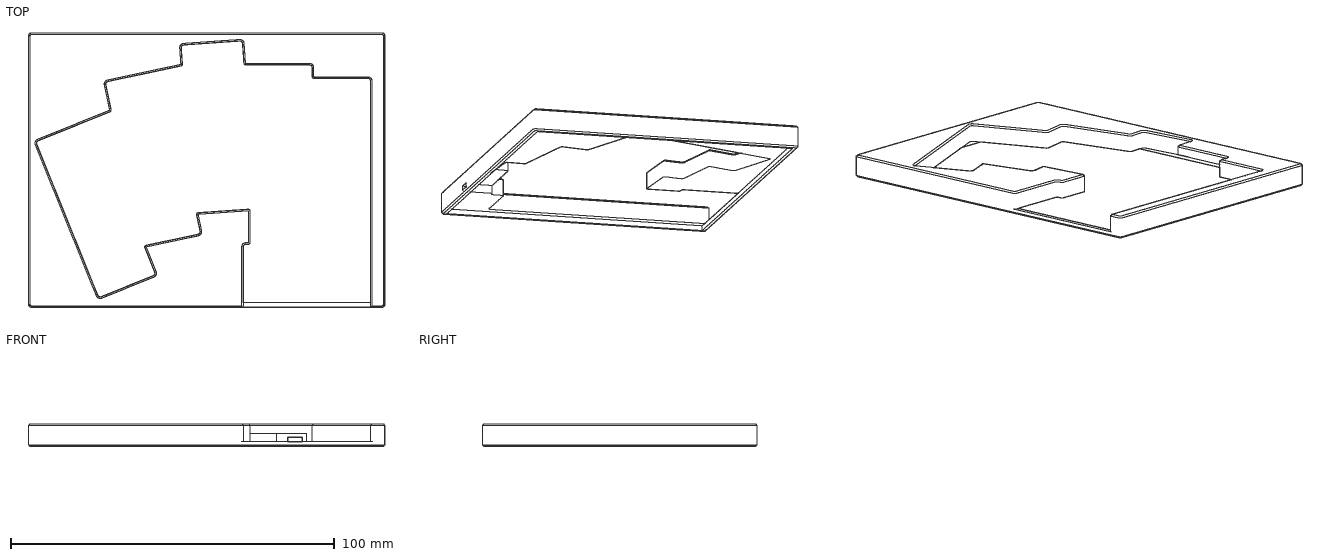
import math

import cadquery as cq

LENGTH = 110.2
WIDTH = 84.9
HEIGHT = 7.0
OUTER_RADIUS = 1.0
EDGE_CHAMFER = 0.5

RIM_WIDTH = 1.6
RECESS_DEPTH = 1.5

INNER_CORNER_RADIUS = 0.8
OUTER_CORNER_RADIUS = 0.6
OPENING_RIGHT_X = 105.7
OPENING_RIGHT_BACK_Y = 70.8
OVERSHOOT = 5.0
PINKY_TILT = 22
RING_TILT = 12
MIDDLE_TILT = 4

OPENING_WALLS = [
    (180, 18.05),
    (90, 4.15),
    (180, 21.05),
    (90 + MIDDLE_TILT, 7.45),
    (180 + MIDDLE_TILT, 18.95),
    (270 + MIDDLE_TILT, 6.35),
    (180 + RING_TILT, 24.4),
    (270 + RING_TILT, 9.2),
    (180 + PINKY_TILT, 25.25),
    (270 + PINKY_TILT, 51.95),
    (PINKY_TILT, 18.95),
    (90 + PINKY_TILT, 9.65),
    (RING_TILT, 17.9),
    (90 + RING_TILT, 6.6),
    (MIDDLE_TILT, 16.75),
]
TAB_LENGTH = 10.9
TAB_BASE_X = 66.4

POCKET_LEFT_X = 64.9
POCKET_RIGHT_X = 86.0
POCKET_FRONT_Y = 74.0
POCKET_TOP_Z = 4.0
DEEP_POCKET_LEFT_X = 76.7
DEEP_POCKET_ARC_RADIUS = 8.1 / 2
DEEP_POCKET_ARC_WIDTH = 1.7

SLOT_LEFT_X = 80.2
SLOT_RIGHT_X = 84.6
SLOT_TOP_Z = 2.8


def opening_outline():
    """Corner points of the opening, which runs out through the front wall."""
    x = OPENING_RIGHT_X
    y = OPENING_RIGHT_BACK_Y
    points = [(x, -OVERSHOOT), (x, y)]
    for heading, length in OPENING_WALLS:
        x += length * math.cos(math.radians(heading))
        y += length * math.sin(math.radians(heading))
        points.append((x, y))
    y -= TAB_LENGTH
    points += [(x, y), (TAB_BASE_X, y), (TAB_BASE_X, -OVERSHOOT)]
    return points


def turns_left(before, corner, after):
    """True where the counterclockwise outline turns left, an inner corner of the walls."""
    arriving = (corner[0] - before[0], corner[1] - before[1])
    leaving = (after[0] - corner[0], after[1] - corner[1])
    return arriving[0] * leaving[1] - arriving[1] * leaving[0] > 0


def round_corner(body, point, radius, middle_z):
    """Round the vertical edge of the body that stands at the given point."""
    corner = cq.selectors.NearestToPointSelector((*point, middle_z))
    return body.edges("|Z").edges(corner).fillet(radius)


def opening_body():
    """Solid that fills the opening above the recess, with its wall corners rounded."""
    points = opening_outline()
    body = cq.Workplane("XY", origin=(0, 0, RECESS_DEPTH)).polyline(points).close().extrude(HEIGHT)
    middle_z = RECESS_DEPTH + HEIGHT / 2
    for before, corner, after in zip(points, points[1:], points[2:]):
        radius = INNER_CORNER_RADIUS if turns_left(before, corner, after) else OUTER_CORNER_RADIUS
        body = round_corner(body, corner, radius, middle_z)
    return body


def frame_with_opening():
    frame = cq.Workplane("XY").box(LENGTH, WIDTH, HEIGHT, centered=False)
    frame = frame.edges("|Z").fillet(OUTER_RADIUS)
    frame = frame.faces("<Z").edges().chamfer(EDGE_CHAMFER)
    frame = frame.cut(opening_body())
    for x in (TAB_BASE_X, OPENING_RIGHT_X):
        frame = round_corner(frame, (x, 0), OUTER_CORNER_RADIUS, (RECESS_DEPTH + HEIGHT) / 2)
    return frame.faces(">Z").edges().chamfer(EDGE_CHAMFER)


def base_recess():
    return cq.Workplane("XY").box(
        LENGTH - 2 * RIM_WIDTH, WIDTH - 2 * RIM_WIDTH, RECESS_DEPTH, centered=False
    ).translate((RIM_WIDTH, RIM_WIDTH, 0))


def connector_pocket():
    """Pocket above the recess; its deeper part blends in on the left along an arc."""
    height = POCKET_TOP_Z - RECESS_DEPTH
    back_y = WIDTH - RIM_WIDTH
    arc_end_x = DEEP_POCKET_LEFT_X + DEEP_POCKET_ARC_WIDTH
    arc_center_distance = math.sqrt(DEEP_POCKET_ARC_RADIUS**2 - DEEP_POCKET_ARC_WIDTH**2)
    arc_depth = DEEP_POCKET_ARC_RADIUS - arc_center_distance
    deep_y = back_y + arc_depth
    return (
        cq.Workplane("XY", origin=(0, 0, RECESS_DEPTH))
        .moveTo(POCKET_LEFT_X, POCKET_FRONT_Y)
        .lineTo(POCKET_LEFT_X, back_y)
        .lineTo(DEEP_POCKET_LEFT_X, back_y)
        .radiusArc((arc_end_x, deep_y), DEEP_POCKET_ARC_RADIUS)
        .lineTo(POCKET_RIGHT_X, deep_y)
        .lineTo(POCKET_RIGHT_X, POCKET_FRONT_Y)
        .close()
        .extrude(height)
    )


def cable_slot():
    slot_length = WIDTH - POCKET_FRONT_Y
    return cq.Workplane("XY").box(
        SLOT_RIGHT_X - SLOT_LEFT_X, slot_length, SLOT_TOP_Z - RECESS_DEPTH, centered=False
    ).translate((SLOT_LEFT_X, POCKET_FRONT_Y, RECESS_DEPTH))


result = frame_with_opening().cut(base_recess()).cut(connector_pocket()).cut(cable_slot())